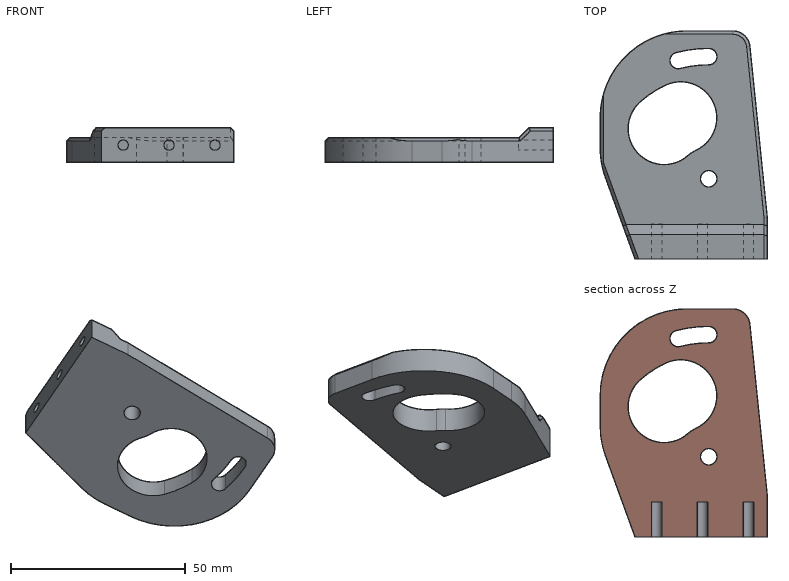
import cadquery as cq
import math

width = 47.9
length = 65.4
height = 10.0
plate_height = 7.1
ledge_length = 7.0
step_rise = height - plate_height
step_foot = ledge_length + step_rise
edge_chamfer = 1.0
tolerance = 0.0005

left_radius = 24.9
left_corner_y = 27.45
left_taper = math.radians(20)
right_corner_y = 11.9
right_taper = math.radians(5.8)
right_radius = 5.0
front_left_x = left_corner_y * math.tan(left_taper)
back_right_x = width - (length - right_corner_y) * math.tan(right_taper)

pivot = (31.1, 23.0)
pivot_diameter = 4.65
slot_path_radius = 35.0
slot_width = 4.65
slot_start, slot_end = 90, 104.5
window_path_radius = 19.2
window_width = 20.5
window_start, window_end = 114.6, 131.7

front_hole_diameter = 2.95
front_hole_depth = 10.0
front_hole_pitch = 13.15
front_hole_middle_x = 29.35
front_hole_z = 5.0


def sharp_blank():
    """Tapered plan with only the back right corner rounded."""
    return (
        cq.Workplane("XY")
        .moveTo(front_left_x, 0)
        .lineTo(width, 0)
        .lineTo(width, right_corner_y)
        .lineTo(back_right_x, length)
        .lineTo(0, length)
        .lineTo(0, left_corner_y)
        .close()
        .extrude(height)
        .edges("|Z")
        .edges(cq.selectors.NearestToPointSelector((back_right_x, length, height / 2)))
        .fillet(right_radius)
    )


def step_profile():
    """Side profile with a raised ledge along the front."""
    return (
        cq.Workplane("YZ")
        .polyline([
            (0, 0),
            (length, 0),
            (length, plate_height),
            (step_foot, plate_height),
            (ledge_length, height),
            (0, height),
        ])
        .close()
        .extrude(width)
    )


def chamfer_rim(body):
    """Chamfer the upper rim, leaving the front edge and the step creases sharp."""
    def on_rim(edge):
        middle = edge.Center()
        on_top = middle.z > plate_height - tolerance
        runs_across = abs(edge.tangentAt(0).x) > 0.65 - tolerance
        at_back = middle.y > length - tolerance
        return on_top and (at_back or not runs_across)

    return body.newObject([edge for edge in body.edges().vals() if on_rim(edge)]).chamfer(edge_chamfer)


def left_rounding():
    """Prism that rounds the two left corners straight down through the chamfers."""
    lower_tangent = left_radius * math.tan(left_taper / 2)
    lower_arc_start = (
        lower_tangent * math.sin(left_taper),
        left_corner_y - lower_tangent * math.cos(left_taper),
    )
    lower_arc_end = (0, left_corner_y + lower_tangent)
    upper_arc_start_y = length - left_radius
    return (
        cq.Workplane("XY")
        .moveTo(front_left_x, 0)
        .lineTo(*lower_arc_start)
        .radiusArc(lower_arc_end, left_radius)
        .lineTo(0, upper_arc_start_y)
        .radiusArc((left_radius, length), left_radius)
        .lineTo(width, length)
        .lineTo(width, 0)
        .close()
        .extrude(height)
    )


def arc_point(radius, degrees):
    """Point at a given distance and direction from the pivot."""
    angle = math.radians(degrees)
    return (pivot[0] + radius * math.cos(angle), pivot[1] + radius * math.sin(angle))


def curved_slot(path_radius, slot_size, start, end):
    """Round-ended slot swept about the pivot between two directions."""
    inner = path_radius - slot_size / 2
    outer = path_radius + slot_size / 2
    middle = (start + end) / 2
    slot = (
        cq.Workplane("XY")
        .moveTo(*arc_point(inner, start))
        .lineTo(*arc_point(outer, start))
        .threePointArc(arc_point(outer, middle), arc_point(outer, end))
        .lineTo(*arc_point(inner, end))
        .threePointArc(arc_point(inner, middle), arc_point(inner, start))
        .close()
        .extrude(height)
    )
    for direction in (start, end):
        center = arc_point(path_radius, direction)
        slot = slot.union(cq.Workplane("XY").center(*center).circle(slot_size / 2).extrude(height))
    return slot


def front_holes():
    """Row of blind holes running back from the front face."""
    centers = [(front_hole_middle_x + i * front_hole_pitch, front_hole_z) for i in (-1, 0, 1)]
    return (
        cq.Workplane("XZ")
        .pushPoints(centers)
        .circle(front_hole_diameter / 2)
        .extrude(-front_hole_depth)
    )


pivot_hole = cq.Workplane("XY").center(*pivot).circle(pivot_diameter / 2).extrude(height)

result = chamfer_rim(sharp_blank().intersect(step_profile()))
result = result.intersect(left_rounding())
result = result.cut(pivot_hole)
result = result.cut(curved_slot(slot_path_radius, slot_width, slot_start, slot_end))
result = result.cut(curved_slot(window_path_radius, window_width, window_start, window_end))
result = result.cut(front_holes())